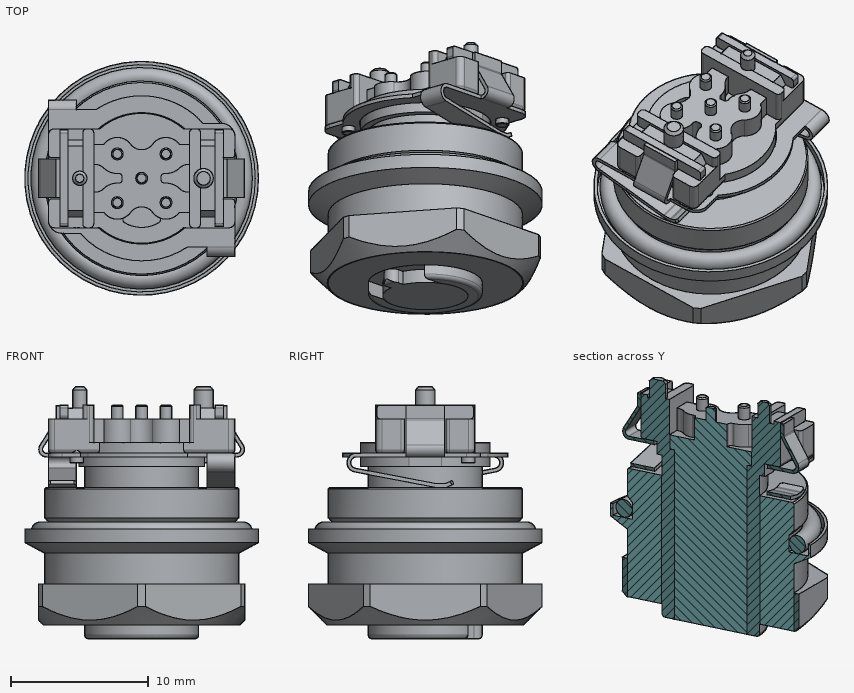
import cadquery as cq
import math

SIDES = (-1, 1)

nut_bottom = 1.0
nut_height = 3.0
cone_bottom = 6.23
flange_bottom = 7.0
flange_top = 8.0
collar_bottom = 8.8
collar_top = 11.0
disc_bottom = 12.53
plate_bottom = 13.22
plate_thickness = 0.28
plate_top = plate_bottom + plate_thickness
ledge_level = 14.26
block_top = 16.0
pin_top = 17.0
post_top = 18.33

thread_radius = 7.07
flange_radius = 8.5
collar_chamfer = 0.11
seal_section_radius = 0.7
seal_ring_radius = 7.35
seal_groove_inner = seal_ring_radius - seal_section_radius
seal_groove_outer = 8.26
seal_crest = 8.51
seal_centre_level = seal_crest - seal_section_radius
seal_groove_floor = seal_centre_level - seal_section_radius
nut_flats = 15.0
nut_corner_radius = 8.5
nut_face_radius = 7.14

sleeve_radius = 4.15
sleeve_fillet = 0.3
disc_radius = 4.72
disc_flat_x = 4.57
block_outer_x = 6.78
block_inner_x = 3.06
block_half_y = 3.6
block_corner_fillet = 0.45
block_bottom_fillet = 0.24
pocket_half_y = 1.5
pocket_edge_fillet = 0.25
wall_inner_x = 3.48
wall_outer_x = 4.28
wall_fillet = 0.3
rail_inner_x = 5.35
rail_outer_x = 5.94
rail_half_y = 3.5
rail_fillet = 0.2
ridge_top = 16.78
ridge_top_half_y = 2.35
ridge_base_half_y = 2.8
post_x = 4.5
post_radii = (0.52, 0.71)
post_chamfer = 0.22
peg_place = (4.72, 3.12)
peg_radius = 0.48
peg_bottom = 12.77
peg_chamfer = 0.06

core_radius = 3.1
key_half_width = 0.6
key_slot_half_width = 2.75
pin_offset = 1.77
pin_radius = 0.43
pin_chamfer = 0.1
bump_radius = 1.2
valley_radius = 1.0
head_half_y = 2.47
notch_tip_x = 1.41
notch_radius = 1.42
notch_mouth_x = 3.4
notch_mouth_half_y = 1.01
notch_tip_fillet = 0.25
recess_radius = 2.4
recess_front_y = 3.57
recess_half_width = 1.37
recess_corner_fillet = 0.25
recess_floor = ledge_level - 0.84
head_bottom = recess_floor - 0.3

clip_ring_outer = 6.0
clip_ring_inner = 4.78
clip_wide_y = 5.0
clip_narrow_y = 4.0
clip_slope_start_x = 3.9
clip_slope_end_x = 4.45
clip_corner_radius = 1.0
loop_outer_radius = 0.69
leg_inner_x = 4.75
leg_slope = math.radians(10.8)
foot_outer_radius = 0.5
foot_flat = 0.55
foot_rise = math.radians(25)
foot_tail = 0.5
foot_corner_chamfer = 0.15
tab_half_y = 1.41
tab_bend_outer_radius = 0.56
tab_slope = math.radians(58)
tab_tip_x = 7.48
tab_top = 16.95
tab_top_bend_radius = 0.3


def cylinder(radius, bottom, top, x=0.0, y=0.0):
    return cq.Workplane("XY", origin=(x, y, bottom)).circle(radius).extrude(top - bottom)


def box(x_range, y_range, z_range):
    sizes = [high - low for low, high in (x_range, y_range, z_range)]
    return cq.Workplane("XY", origin=(x_range[0], y_range[0], z_range[0])).box(*sizes, centered=False)


def half_turn(shape):
    return shape.rotate((0, 0, 0), (0, 0, 1), 180)


def make_housing():
    undercut = thread_radius - seal_groove_inner
    profile = [
        (sleeve_radius, nut_bottom),
        (thread_radius, nut_bottom),
        (thread_radius, cone_bottom),
        (flange_radius, flange_bottom),
        (flange_radius, flange_top),
        (seal_groove_outer, flange_top),
        (seal_groove_outer, seal_groove_floor),
        (seal_groove_inner, seal_groove_floor),
        (seal_groove_inner, collar_bottom - undercut),
        (thread_radius, collar_bottom),
        (thread_radius, collar_top - collar_chamfer),
        (thread_radius - collar_chamfer, collar_top),
        (sleeve_radius, collar_top),
    ]
    return cq.Workplane("XZ").polyline(profile).close().revolve(360, (0, 0), (0, 1))


def make_seal():
    section = cq.Workplane("XZ").center(seal_ring_radius, seal_centre_level).circle(seal_section_radius)
    return section.revolve(360, (-seal_ring_radius, 0), (-seal_ring_radius, 1))


def make_nut():
    corner_to_corner = nut_flats / math.cos(math.radians(30))
    hexagon = cq.Workplane("XY", origin=(0, 0, nut_bottom)).polygon(6, corner_to_corner)
    hexagon = hexagon.extrude(nut_height).rotate((0, 0, 0), (0, 0, 1), 30)
    turned = cylinder(nut_corner_radius, nut_bottom, nut_bottom + nut_height)
    turned = turned.faces("<Z").chamfer(nut_corner_radius - nut_face_radius)
    bore = cylinder(thread_radius, nut_bottom, nut_bottom + nut_height)
    return hexagon.intersect(turned).cut(bore)


def insert_head():
    """Head with a wavy edge: a round bump at each corner pin and a valley between two bumps."""
    valley_y = pin_offset + math.sqrt((bump_radius + valley_radius) ** 2 - pin_offset**2)
    joint = bump_radius / (bump_radius + valley_radius)
    joint_x = pin_offset * (1 - joint)
    joint_y = pin_offset + (valley_y - pin_offset) * joint
    z_range = (head_bottom, block_top)
    head = box((-wall_inner_x, wall_inner_x), (-head_half_y, head_half_y), z_range)
    for x in SIDES:
        for y in SIDES:
            bump = cylinder(bump_radius, *z_range, x * pin_offset, y * pin_offset)
            head = head.union(bump)
    for y in SIDES:
        web = box((-joint_x, joint_x), sorted((0, y * joint_y)), z_range)
        valley = cylinder(valley_radius, *z_range, 0, y * valley_y)
        head = head.union(web).cut(valley)
    return head


def side_notch():
    """Funnel-shaped notch on the +X side, curving around the neighbouring pins."""
    run = notch_mouth_x - pin_offset
    rise = pin_offset - notch_mouth_half_y
    mouth_radius = (run**2 + rise**2 - notch_radius**2) / (2 * (notch_radius - rise))
    joint = notch_radius / (notch_radius + mouth_radius)
    joint_x = pin_offset + run * joint
    joint_y = pin_offset - (rise + mouth_radius) * joint
    neck_y = pin_offset - notch_radius
    half_angle = math.atan2(run, rise + mouth_radius) / 2
    arc_x = pin_offset + notch_radius * math.sin(half_angle)
    arc_y = pin_offset - notch_radius * math.cos(half_angle)
    mouth_arc_x = notch_mouth_x - mouth_radius * math.sin(half_angle)
    mouth_arc_y = notch_mouth_half_y - mouth_radius * (1 - math.cos(half_angle))
    notch = (
        cq.Workplane("XY", origin=(0, 0, ledge_level))
        .moveTo(notch_tip_x, -neck_y)
        .lineTo(pin_offset, -neck_y)
        .threePointArc((arc_x, -arc_y), (joint_x, -joint_y))
        .threePointArc((mouth_arc_x, -mouth_arc_y), (notch_mouth_x, -notch_mouth_half_y))
        .lineTo(wall_inner_x, -notch_mouth_half_y)
        .lineTo(wall_inner_x, notch_mouth_half_y)
        .lineTo(notch_mouth_x, notch_mouth_half_y)
        .threePointArc((mouth_arc_x, mouth_arc_y), (joint_x, joint_y))
        .threePointArc((arc_x, arc_y), (pin_offset, neck_y))
        .lineTo(notch_tip_x, neck_y)
        .close()
        .extrude(block_top - ledge_level)
    )
    return notch.edges("|Z and <X").fillet(notch_tip_fillet)


def insert_key():
    """Round-nosed key on the +Y side of the mating end."""
    nose_y = sleeve_radius - key_half_width
    bar = box((-key_half_width, key_half_width), (0, nose_y), (0, nut_bottom))
    key = bar.union(cylinder(key_half_width, 0, nut_bottom, 0, nose_y))
    envelope = cylinder(sleeve_radius, 0, nut_bottom).faces("<Z").edges().fillet(sleeve_fillet)
    return key.intersect(envelope)


def make_insert():
    insert = insert_head()
    notch = side_notch()
    insert = insert.cut(notch).cut(half_turn(notch))
    insert = insert.union(cylinder(core_radius, 0, head_bottom)).union(insert_key())
    pin_places = [(x * pin_offset, y * pin_offset) for x in SIDES for y in SIDES] + [(0, 0)]
    for x, y in pin_places:
        pin = cylinder(pin_radius, block_top, pin_top, x, y).faces(">Z").chamfer(pin_chamfer)
        insert = insert.union(pin)
    return insert


def carrier_block():
    """Block on the +X side with its wall, rail, ridge and clip pocket."""
    y_range = (-block_half_y, block_half_y)
    base = box((block_inner_x, block_outer_x), y_range, (plate_top, ledge_level))
    tower = box((wall_inner_x, block_outer_x), y_range, (ledge_level, block_top))
    wall = box((wall_inner_x, wall_outer_x), y_range, (ledge_level, pin_top))
    tower = tower.edges("|Z and <X").fillet(wall_fillet)
    wall = wall.edges("|Z").fillet(wall_fillet)
    pocket = box(
        (rail_outer_x, block_outer_x), (-pocket_half_y, pocket_half_y), (plate_top, block_top)
    )
    block = base.union(tower).edges("|Z and >X").fillet(block_corner_fillet)
    block = block.cut(pocket)
    for side in SIDES:
        mouth = cq.selectors.NearestToPointSelector((block_outer_x, side * pocket_half_y, ledge_level))
        block = block.edges("|Z").edges(mouth).fillet(pocket_edge_fillet)
    block = block.faces("<Z").edges().fillet(block_bottom_fillet)
    rail = box((rail_inner_x, rail_outer_x), (-rail_half_y, rail_half_y), (block_top, pin_top))
    rail = rail.edges("|X").fillet(rail_fillet)
    ridge_section = [
        (-ridge_base_half_y, block_top),
        (ridge_base_half_y, block_top),
        (ridge_top_half_y, ridge_top),
        (-ridge_top_half_y, ridge_top),
    ]
    ridge = cq.Workplane("YZ", origin=(wall_outer_x, 0, 0)).polyline(ridge_section).close()
    ridge = ridge.extrude(rail_inner_x - wall_outer_x)
    return block.union(wall).union(rail).union(ridge)


def ledge_recess():
    """Recess in the ledge, in front of the insert's head on the -Y side."""
    disc = cylinder(recess_radius, recess_floor, ledge_level, 0, recess_radius - recess_front_y)
    limits = box(
        (-recess_half_width, recess_half_width),
        (-recess_front_y, -pin_offset),
        (recess_floor, ledge_level),
    )
    recess = disc.intersect(limits)
    for side in SIDES:
        corner = (side * recess_half_width, -recess_front_y, recess_floor)
        corner_edge = recess.edges("|Z").edges(cq.selectors.NearestToPointSelector(corner))
        recess = corner_edge.fillet(recess_corner_fillet)
    return recess


def make_carrier():
    sleeve = cylinder(sleeve_radius, 0, disc_bottom).faces("<Z").edges().fillet(sleeve_fillet)
    disc = cylinder(disc_radius, disc_bottom, ledge_level)
    carrier = sleeve.union(disc)
    for side in SIDES:
        flat = box(
            sorted((side * disc_flat_x, side * disc_radius)),
            (-disc_radius, disc_radius),
            (disc_bottom, plate_top),
        )
        carrier = carrier.cut(flat)
    block = carrier_block()
    carrier = carrier.union(block).union(half_turn(block))
    for side, radius in zip(SIDES, post_radii):
        post = cylinder(radius, block_top, post_top, side * post_x).faces(">Z").chamfer(post_chamfer)
        carrier = carrier.union(post)
    for side in SIDES:
        peg_x, peg_y = (side * offset for offset in peg_place)
        peg = cylinder(peg_radius, peg_bottom, plate_top + block_bottom_fillet, peg_x, peg_y)
        carrier = carrier.union(peg.faces("<Z").chamfer(peg_chamfer))
    key_slot = box((-key_slot_half_width, key_slot_half_width), (0, sleeve_radius), (0, nut_bottom))
    carrier = carrier.cut(key_slot).cut(ledge_recess())
    return carrier.cut(cylinder(core_radius, 0, head_bottom)).cut(insert_head())


def bent_strip(plane, start, width, moves):
    """Sheet strip that starts along the plane's X; each move is (length, turn, mid-line radius)."""
    heading = 0.0
    u, v = start
    path = cq.Workplane(plane).moveTo(u, v)
    for length, turn, radius in moves:
        if length:
            u += length * math.cos(heading)
            v += length * math.sin(heading)
            path = path.lineTo(u, v)
        if turn:
            side = math.copysign(1, turn)
            centre_u = u - side * radius * math.sin(heading)
            centre_v = v + side * radius * math.cos(heading)
            points = []
            for angle in (heading + turn / 2, heading + turn):
                u = centre_u + side * radius * math.sin(angle)
                v = centre_v - side * radius * math.cos(angle)
                points.append((u, v))
            path = path.threePointArc(*points)
            heading += turn
    section = cq.Workplane(cq.Plane(plane.toWorldCoords(start), xDir=plane.zDir, normal=plane.xDir))
    return section.rect(width, plate_thickness).sweep(path)


def clip_plate():
    ring_slope_y = math.sqrt(clip_ring_outer**2 - clip_slope_start_x**2)
    ring_wide_x = math.sqrt(clip_ring_outer**2 - clip_wide_y**2)
    half = (
        cq.Workplane("XY", origin=(0, 0, plate_bottom))
        .moveTo(-block_outer_x, 0)
        .lineTo(-block_outer_x, clip_wide_y)
        .lineTo(-ring_wide_x, clip_wide_y)
        .threePointArc((0, clip_ring_outer), (clip_slope_start_x, ring_slope_y))
        .lineTo(clip_slope_end_x, clip_narrow_y)
        .lineTo(block_outer_x, clip_narrow_y)
        .lineTo(block_outer_x, 0)
        .close()
        .extrude(plate_thickness)
    )
    corner = cq.selectors.NearestToPointSelector((block_outer_x, clip_narrow_y, plate_bottom))
    half = half.edges("|Z").edges(corner).fillet(clip_corner_radius)
    plate = half.union(half_turn(half)).cut(cylinder(clip_ring_inner, plate_bottom, plate_top))
    for side in SIDES:
        peg_x, peg_y = (side * offset for offset in peg_place)
        hole = cylinder(peg_radius, plate_bottom, plate_top, peg_x, peg_y)
        plate = plate.cut(hole)
    return plate


def clip_leg():
    """Looped leg on the +Y edge: turns under the plate and slopes down to a foot on the collar."""
    half_sheet = plate_thickness / 2
    loop_centre_z = plate_top - loop_outer_radius
    foot_centre_z = collar_top + foot_outer_radius
    drop = loop_centre_z - foot_centre_z
    radius_change = loop_outer_radius - foot_outer_radius
    foot_centre_y = clip_wide_y - (drop * math.cos(leg_slope) - radius_change) / math.sin(leg_slope)
    across = clip_wide_y - foot_centre_y
    leg_length = across * math.cos(leg_slope) + drop * math.sin(leg_slope)
    leg = bent_strip(
        cq.Plane(((-block_outer_x - leg_inner_x) / 2, 0, 0), xDir=(0, 1, 0), normal=(1, 0, 0)),
        (clip_wide_y - plate_thickness, plate_top - half_sheet),
        block_outer_x - leg_inner_x,
        [
            (plate_thickness, leg_slope - math.pi, loop_outer_radius - half_sheet),
            (leg_length, -leg_slope, foot_outer_radius - half_sheet),
            (foot_flat, -foot_rise, foot_outer_radius - half_sheet),
            (foot_tail, 0, 0),
        ],
    )
    return leg.faces("<Y").edges("not |X").chamfer(foot_corner_chamfer)


def clip_tab():
    """Spring tab on the +X edge: bends up, leans inwards and stands against the rail."""
    half_sheet = plate_thickness / 2
    bend_centre_x = tab_tip_x - tab_bend_outer_radius
    bend_mid_radius = tab_bend_outer_radius - half_sheet
    bend_end_x = bend_centre_x + bend_mid_radius * math.sin(tab_slope)
    bend_end_z = plate_bottom + tab_bend_outer_radius + bend_mid_radius * math.cos(tab_slope)
    turn = math.pi / 2 - tab_slope
    top_bend_inset = tab_top_bend_radius * (1 - math.cos(turn))
    lean_x = bend_end_x - (rail_outer_x + half_sheet) - top_bend_inset
    lean_length = lean_x / math.cos(tab_slope)
    top_bend_z = bend_end_z + lean_length * math.sin(tab_slope) + tab_top_bend_radius * math.sin(turn)
    return bent_strip(
        cq.Plane((0, 0, 0), xDir=(1, 0, 0), normal=(0, -1, 0)),
        (block_outer_x - plate_thickness, plate_bottom + half_sheet),
        2 * tab_half_y,
        [
            (bend_centre_x - block_outer_x + plate_thickness, math.pi - tab_slope, bend_mid_radius),
            (lean_length, -turn, tab_top_bend_radius),
            (tab_top - top_bend_z, 0, 0),
        ],
    )


def make_clip():
    clip = clip_plate()
    for feature in (clip_leg(), clip_tab()):
        clip = clip.union(feature).union(half_turn(feature))
    return clip


housing = make_housing()
seal = make_seal()
nut = make_nut()
insert = make_insert()
carrier = make_carrier()
clip = make_clip()

bodies = (housing, seal, nut, insert, carrier, clip)
result = cq.Compound.makeCompound([body.solids().val() for body in bodies])